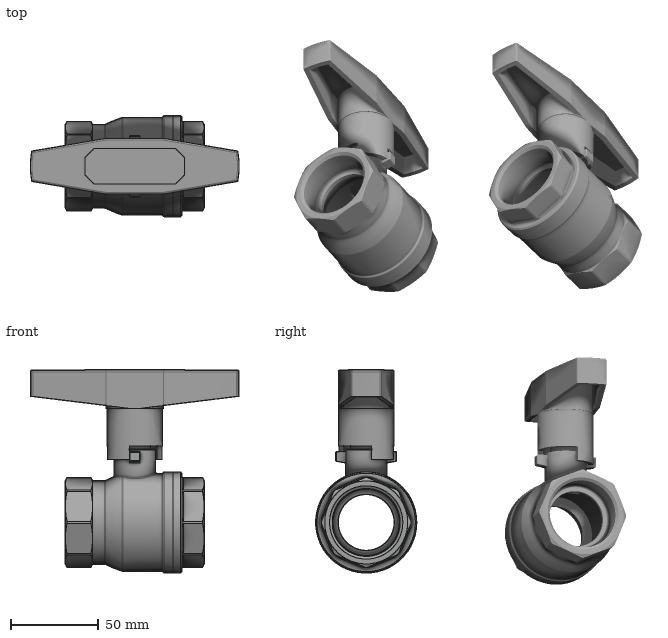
import cadquery as cq
import math

SELECT_MARGIN = 0.01
CUT_MARGIN = 1.0

VALVE_LENGTH = 79.7
END_X = VALVE_LENGTH / 2
OCTAGON_SIDES = 8
OCTAGON_FLATS = 48.0
OCTAGON_TURNED_R = 51.5 / 2
OCTAGON_LENGTH = 15.75
OCTAGON_FACE_R = 23.8
OCTAGON_CHAMFER = 1.0
OCTAGON_ROOT = 0.8
OCTAGON_ROOT_ANGLE = 45
PIPE_BORE_R = 38.95 / 2
PIPE_MOUTH_R = 21.0
PIPE_MOUTH_DEPTH = 1.4
PIPE_BORE_DEPTH = 16.1
PIPE_BORE_CORNER = 0.5
PASSAGE_R = 32.0 / 2

COLLAR_R = 24.0
FLARE_START_X = -17.0
FLARE_END_X = -7.0
FLARE_BULGE = 0.2
BARREL_R = 28.0
FLARE_BLEND_R = 1.5
CAVITY_R = 43.0 / 2
CAVITY_FLARE_START_X = -21.0
CAVITY_FLARE_END_X = -10.9

FLANGE_R = 58.0 / 2
FLANGE_START_X = 15.5
FLANGE_STEP_LENGTH = 1.6
SPLIT_X = 22.0
FLANGE_END_X = 27.0
FLANGE_CHAMFER = 0.8

NECK_R = 24.0 / 2
NECK_TOP_Z = 42.0
NECK_CHAMFER = 0.6
NECK_ROOT_FILLET = 0.8
LUG_WIDTH = 6.3
LUG_REACH = 17.5
LUG_TOP_Z = 40.6
LUG_TIP_BOTTOM_Z = 35.1
LUG_ROOT_BOTTOM_Z = 34.1
LUG_CHAMFER = 0.4

STEM_R = 18.0 / 2

SLEEVE_R = 32.0 / 2
SLEEVE_BORE_R = 26.0 / 2
SLEEVE_BOTTOM_Z = 36.0
SLEEVE_TOP_Z = 65.4
SLEEVE_WINDOW_TOP_Z = 43.9
SLEEVE_STOP = LUG_WIDTH / 2

HANDLE_TOP_Z = 87.3
HANDLE_LENGTH = 119.85
HANDLE_END_X = HANDLE_LENGTH / 2
HANDLE_END_ARC_R = 45.0
HANDLE_HALF_WIDTH = 16.0
HANDLE_MIDDLE_HALF_LENGTH = 16.5
HANDLE_TIP_HALF_WIDTH = 8.7
HANDLE_TIP_BOTTOM_Z = 72.1
HANDLE_SLOPE_OUTER_X = 58.2
HANDLE_SLOPE_INNER_X = 3.5
HANDLE_CORNER_FILLET = 1.0
HANDLE_TOP_FILLET = 1.0
HANDLE_WALL = 3.0
HUB_R = 33.0 / 2

PLATE_LENGTH = 57.1
PLATE_WIDTH = 20.3
PLATE_CORNER = 5.2
PLATE_THICKNESS = 0.4


def revolve_about_x(profile):
    """Turn a closed (X, radius) profile about the flow axis."""
    return profile.close().revolve(360, (0, 0, 0), (1, 0, 0))


def octagon_prism(start_x, length, taper=0):
    """Octagon along X with a corner on top; flats at OCTAGON_FLATS unless tapered."""
    corner_diameter = OCTAGON_FLATS / math.cos(math.pi / OCTAGON_SIDES)
    plane = cq.Workplane("YZ", origin=(start_x, 0, 0))
    return plane.polygon(OCTAGON_SIDES, corner_diameter).extrude(length, taper=taper)


def turned_blank(x_face, x_back, back_chamfered):
    """Round blank whose outer end at x_face, and optionally x_back, is coned."""
    inward = math.copysign(OCTAGON_CHAMFER, x_back - x_face)
    profile = (
        cq.Workplane("XY")
        .moveTo(x_face, 0)
        .lineTo(x_face, OCTAGON_FACE_R)
        .lineTo(x_face + inward, OCTAGON_TURNED_R)
    )
    if back_chamfered:
        profile = profile.lineTo(x_back - inward, OCTAGON_TURNED_R).lineTo(x_back, OCTAGON_FACE_R)
    else:
        profile = profile.lineTo(x_back, OCTAGON_TURNED_R)
    return revolve_about_x(profile.lineTo(x_back, 0))


def pipe_socket(side):
    """Chamfered pipe bore entering from the end at side * END_X."""
    depths_and_radii = [
        (0, PIPE_MOUTH_R),
        (PIPE_MOUTH_DEPTH, PIPE_BORE_R),
        (PIPE_BORE_DEPTH - PIPE_BORE_CORNER, PIPE_BORE_R),
        (PIPE_BORE_DEPTH, PIPE_BORE_R - PIPE_BORE_CORNER),
        (PIPE_BORE_DEPTH, 0),
    ]
    profile = cq.Workplane("XY").moveTo(side * END_X, 0)
    for depth, radius in depths_and_radii:
        profile = profile.lineTo(side * (END_X - depth), radius)
    return revolve_about_x(profile)


def flare_midpoint(x_start, r_start, x_end, r_end):
    """Middle of the slightly bulged line of a flare."""
    return (x_start + x_end) / 2, (r_start + r_end) / 2 + FLARE_BULGE


def blend_flare(turned_solid, ring_positions):
    """Smooth the circular edges at the two ends of a flare."""
    reach = FLANGE_R + SELECT_MARGIN
    for x in ring_positions:
        low_corner = (x - SELECT_MARGIN, -reach, -reach)
        high_corner = (x + SELECT_MARGIN, reach, reach)
        ring = cq.selectors.BoxSelector(low_corner, high_corner, boundingbox=True)
        turned_solid = turned_solid.edges(ring).fillet(FLARE_BLEND_R)
    return turned_solid


def housing_shell():
    """Turned outside of the housing, from the back of the octagon to the flange split."""
    step_half = FLANGE_STEP_LENGTH / 2
    profile = (
        cq.Workplane("XY")
        .moveTo(-END_X + OCTAGON_LENGTH, 0)
        .lineTo(-END_X + OCTAGON_LENGTH, COLLAR_R)
        .lineTo(FLARE_START_X, COLLAR_R)
        .threePointArc(
            flare_midpoint(FLARE_START_X, COLLAR_R, FLARE_END_X, BARREL_R), (FLARE_END_X, BARREL_R)
        )
        .lineTo(FLANGE_START_X, BARREL_R)
        .tangentArcPoint((FLANGE_START_X + step_half, (BARREL_R + FLANGE_R) / 2), relative=False)
        .tangentArcPoint((FLANGE_START_X + FLANGE_STEP_LENGTH, FLANGE_R), relative=False)
        .lineTo(SPLIT_X, FLANGE_R)
        .lineTo(SPLIT_X, 0)
    )
    return blend_flare(revolve_about_x(profile), (FLARE_START_X, FLARE_END_X))


def housing_cavity():
    """Passage opening through a flare into the wide chamber behind it."""
    profile = (
        cq.Workplane("XY")
        .moveTo(-END_X, 0)
        .lineTo(-END_X, PASSAGE_R)
        .lineTo(CAVITY_FLARE_START_X, PASSAGE_R)
        .threePointArc(
            flare_midpoint(CAVITY_FLARE_START_X, PASSAGE_R, CAVITY_FLARE_END_X, CAVITY_R),
            (CAVITY_FLARE_END_X, CAVITY_R),
        )
        .lineTo(SPLIT_X, CAVITY_R)
        .lineTo(SPLIT_X, 0)
    )
    return blend_flare(revolve_about_x(profile), (CAVITY_FLARE_START_X, CAVITY_FLARE_END_X))


def stop_lugs():
    """Bar through the neck whose two ends stick out along Y as lugs."""
    outline = [
        (-LUG_REACH, LUG_TOP_Z),
        (-LUG_REACH, LUG_TIP_BOTTOM_Z),
        (-NECK_R, LUG_ROOT_BOTTOM_Z),
        (NECK_R, LUG_ROOT_BOTTOM_Z),
        (LUG_REACH, LUG_TIP_BOTTOM_Z),
        (LUG_REACH, LUG_TOP_Z),
    ]
    bar = cq.Workplane("YZ").polyline(outline).close().extrude(LUG_WIDTH / 2, both=True)
    return bar.faces("<Y or >Y").edges().chamfer(LUG_CHAMFER)


def build_housing():
    neck = cq.Workplane("XY").circle(NECK_R).extrude(NECK_TOP_Z)
    housing = housing_shell().union(neck)
    reach = NECK_R + SELECT_MARGIN
    root = cq.selectors.BoxSelector((-reach, -reach, COLLAR_R), (reach, reach, FLANGE_R), boundingbox=True)
    housing = housing.edges(root).fillet(NECK_ROOT_FILLET)
    housing = housing.faces(">Z").edges().chamfer(NECK_CHAMFER)
    octagon_back_x = -END_X + OCTAGON_LENGTH
    octagon = octagon_prism(-END_X, OCTAGON_LENGTH).intersect(turned_blank(-END_X, octagon_back_x, True))
    stem_hole = cq.Workplane("XY").circle(STEM_R).extrude(NECK_TOP_Z)
    return (
        housing.union(stop_lugs())
        .union(octagon)
        .cut(housing_cavity())
        .cut(pipe_socket(-1))
        .cut(stem_hole)
    )


def build_end_piece():
    flange = cq.Workplane("YZ", origin=(SPLIT_X, 0, 0)).circle(FLANGE_R).extrude(FLANGE_END_X - SPLIT_X)
    flange = flange.faces(">X").edges().chamfer(FLANGE_CHAMFER)
    octagon = octagon_prism(FLANGE_END_X, END_X - FLANGE_END_X)
    root_start_x = FLANGE_END_X + OCTAGON_ROOT
    root = octagon_prism(root_start_x, -OCTAGON_ROOT, taper=-OCTAGON_ROOT_ANGLE)
    octagon = octagon.union(root).intersect(turned_blank(END_X, FLANGE_END_X, False))
    passage = cq.Workplane("YZ", origin=(SPLIT_X, 0, 0)).circle(PASSAGE_R).extrude(END_X - SPLIT_X)
    return flange.union(octagon).cut(passage).cut(pipe_socket(1))


def build_stem():
    """Stem from the crown of the chamber up to the underside of the handle."""
    return cq.Workplane("XY", origin=(0, 0, CAVITY_R)).circle(STEM_R).extrude(SLEEVE_TOP_Z - CAVITY_R)


def build_sleeve():
    """Tube with two opposite skirts left at the bottom, which stop against the lugs."""
    sleeve = (
        cq.Workplane("XY", origin=(0, 0, SLEEVE_BOTTOM_Z))
        .circle(SLEEVE_R)
        .circle(SLEEVE_BORE_R)
        .extrude(SLEEVE_TOP_Z - SLEEVE_BOTTOM_Z)
    )
    reach = SLEEVE_R + SLEEVE_STOP + CUT_MARGIN
    window = (
        cq.Workplane("XY", origin=(-SLEEVE_STOP, SLEEVE_STOP, SLEEVE_BOTTOM_Z))
        .rect(reach, -reach, centered=False)
        .extrude(SLEEVE_WINDOW_TOP_Z - SLEEVE_BOTTOM_Z)
    )
    for angle in (0, 180):
        sleeve = sleeve.cut(window.rotate((0, 0, 0), (0, 0, 1), angle))
    return sleeve


def handle_outline():
    """Plan of the handle: straight middle, tapered arms and slightly rounded ends."""
    end_bulge = HANDLE_END_ARC_R - math.sqrt(HANDLE_END_ARC_R**2 - HANDLE_TIP_HALF_WIDTH**2)
    tip_x = HANDLE_END_X - end_bulge
    middle_x = HANDLE_MIDDLE_HALF_LENGTH
    return (
        cq.Workplane("XY", origin=(0, 0, SLEEVE_TOP_Z))
        .moveTo(-middle_x, HANDLE_HALF_WIDTH)
        .lineTo(middle_x, HANDLE_HALF_WIDTH)
        .lineTo(tip_x, HANDLE_TIP_HALF_WIDTH)
        .threePointArc((HANDLE_END_X, 0), (tip_x, -HANDLE_TIP_HALF_WIDTH))
        .lineTo(middle_x, -HANDLE_HALF_WIDTH)
        .lineTo(-middle_x, -HANDLE_HALF_WIDTH)
        .lineTo(-tip_x, -HANDLE_TIP_HALF_WIDTH)
        .threePointArc((-HANDLE_END_X, 0), (-tip_x, HANDLE_TIP_HALF_WIDTH))
        .close()
    )


def handle_underside():
    """Space below the arms, which slopes up from the hub to the tips."""
    half = [
        (HANDLE_SLOPE_INNER_X, SLEEVE_TOP_Z),
        (HANDLE_SLOPE_OUTER_X, HANDLE_TIP_BOTTOM_Z),
        (HANDLE_END_X + CUT_MARGIN, HANDLE_TIP_BOTTOM_Z),
        (HANDLE_END_X + CUT_MARGIN, SLEEVE_TOP_Z),
    ]
    wedge = cq.Workplane("XZ").polyline(half).close().extrude(HANDLE_HALF_WIDTH + CUT_MARGIN, both=True)
    return wedge.union(wedge.mirror("YZ"))


def build_handle():
    height = HANDLE_TOP_Z - SLEEVE_TOP_Z
    outer = handle_outline().extrude(height)
    outer = outer.edges("|Z").edges("<X or >X").fillet(HANDLE_CORNER_FILLET)
    outer = outer.faces(">Z").edges().fillet(HANDLE_TOP_FILLET)
    pocket = handle_outline().offset2D(-HANDLE_WALL, "intersection").extrude(height - HANDLE_WALL)
    arms = outer.cut(pocket).cut(handle_underside())
    hub_base = cq.Workplane("XY", origin=(0, 0, SLEEVE_TOP_Z))
    hub = hub_base.circle(HUB_R).extrude(height - HANDLE_WALL)
    width_limit = hub_base.rect(2 * HUB_R, 2 * HANDLE_HALF_WIDTH).extrude(height - HANDLE_WALL)
    return arms.union(hub.intersect(width_limit))


def build_label_plate():
    return (
        cq.Workplane("XY", origin=(0, 0, HANDLE_TOP_Z))
        .rect(PLATE_LENGTH, PLATE_WIDTH)
        .extrude(PLATE_THICKNESS)
        .edges("|Z")
        .chamfer(PLATE_CORNER)
    )


housing = build_housing()
end_piece = build_end_piece()
stem = build_stem()
sleeve = build_sleeve()
handle = build_handle()
label_plate = build_label_plate()

result = cq.Compound.makeCompound(
    [housing.val(), end_piece.val(), stem.val(), sleeve.val(), handle.val(), label_plate.val()]
)